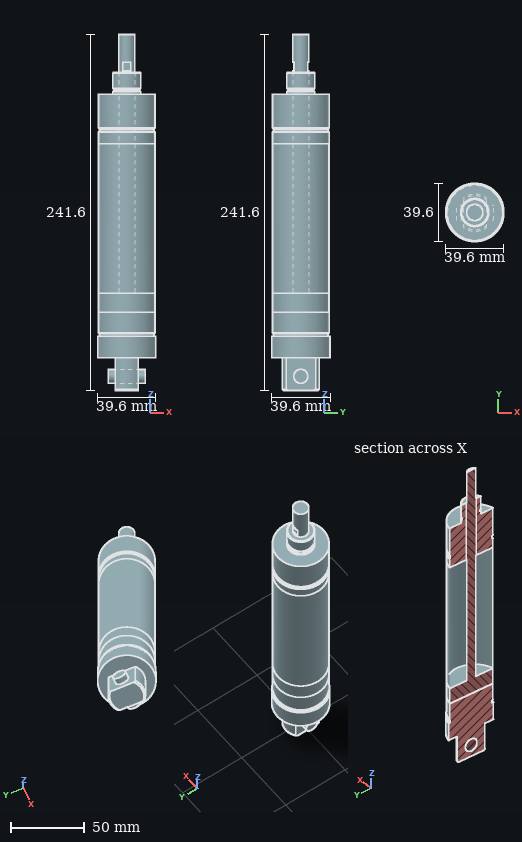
import cadquery as cq


total_height = 241.55
tang_height = 22.3
rear_cap_top = 37.0
tube_bottom = 39.3
tube_top = 175.2
front_cap_bottom = 178.1
front_cap_top = 201.0
gland_top = 215.9

rear_cap_diameter = 39.62
tube_diameter = 38.6
bore_diameter = 38.0
neck_diameter = 37.1
neck_chamfer = (tube_diameter - neck_diameter) / 2

gland_diameter = 19.05
gland_chamfer = 0.6
gland_groove_diameter = 17.4
gland_groove_bottom = 202.5
gland_groove_top = 204.9
gland_groove_slope = (gland_diameter - gland_groove_diameter) / 2

tang_diameter = 25.4
tang_thickness = 15.7
tang_chamfer = 1.1
pin_diameter = 9.525
pin_length = 25.4
pin_height = 9.75

rod_diameter = 11.11
wrench_flat_width = 9.525
wrench_flat_bottom = 216.8
wrench_flat_top = 222.7
piston_bottom = 53.3
piston_thickness = 12.7
bore_top = 167.5


def cylinder(diameter, bottom, top):
    """Upright cylinder on the Z axis between two heights."""
    return cq.Workplane("XY").workplane(offset=bottom).circle(diameter / 2).extrude(top - bottom)


def make_pin():
    """Pivot pin along X."""
    return (
        cq.Workplane("YZ")
        .center(0, pin_height)
        .circle(pin_diameter / 2)
        .extrude(pin_length / 2, both=True)
    )


def make_rod():
    """Piston and rod in one piece, with two wrench flats facing -Y and +Y."""
    piston_top = piston_bottom + piston_thickness
    rod = cylinder(bore_diameter, piston_bottom, piston_top)
    rod = rod.union(cylinder(rod_diameter, piston_top, total_height))

    flat_height = wrench_flat_top - wrench_flat_bottom
    flat_section = cq.Workplane("XY").workplane(offset=wrench_flat_bottom)
    flat_stock = flat_section.rect(rod_diameter * 2, rod_diameter * 2).extrude(flat_height)
    between_flats = flat_section.rect(rod_diameter * 2, wrench_flat_width).extrude(flat_height)
    return rod.cut(flat_stock.cut(between_flats))


def make_housing_shell():
    """Solid of revolution: rear cap, tube, front cap and gland."""
    rear_cap = rear_cap_diameter / 2
    tube = tube_diameter / 2
    neck = neck_diameter / 2
    gland = gland_diameter / 2
    gland_groove = gland_groove_diameter / 2
    profile = [
        (0, tang_height),
        (rear_cap, tang_height),
        (rear_cap, rear_cap_top),
        (neck, rear_cap_top),
        (neck, tube_bottom - neck_chamfer),
        (tube, tube_bottom),
        (tube, tube_top),
        (neck, tube_top + neck_chamfer),
        (neck, front_cap_bottom - neck_chamfer),
        (tube, front_cap_bottom),
        (tube, front_cap_top),
        (gland, front_cap_top),
        (gland, gland_groove_bottom),
        (gland_groove, gland_groove_bottom + gland_groove_slope),
        (gland_groove, gland_groove_top - gland_groove_slope),
        (gland, gland_groove_top),
        (gland, gland_top - gland_chamfer),
        (gland - gland_chamfer, gland_top),
        (0, gland_top),
    ]
    return cq.Workplane("XZ").polyline(profile).close().revolve(360, (0, 0, 0), (0, 1, 0))


def make_tang():
    """Round tang with a chamfered end, flattened on its -X and +X sides."""
    tang = cylinder(tang_diameter, 0, tang_height).faces("<Z").chamfer(tang_chamfer)
    slab = cq.Workplane("XY").rect(tang_thickness, tang_diameter).extrude(tang_height)
    return tang.intersect(slab)


def make_housing(pin):
    """Hollow housing with the tang, the pin hole and the rod hole."""
    housing = make_housing_shell().union(make_tang())
    housing = housing.cut(cylinder(bore_diameter, piston_bottom, bore_top))
    housing = housing.cut(cylinder(rod_diameter, bore_top, gland_top))
    return housing.cut(pin)


pin = make_pin()
rod = make_rod()
housing = make_housing(pin)

result = cq.Compound.makeCompound([housing.val(), rod.val(), pin.val()])